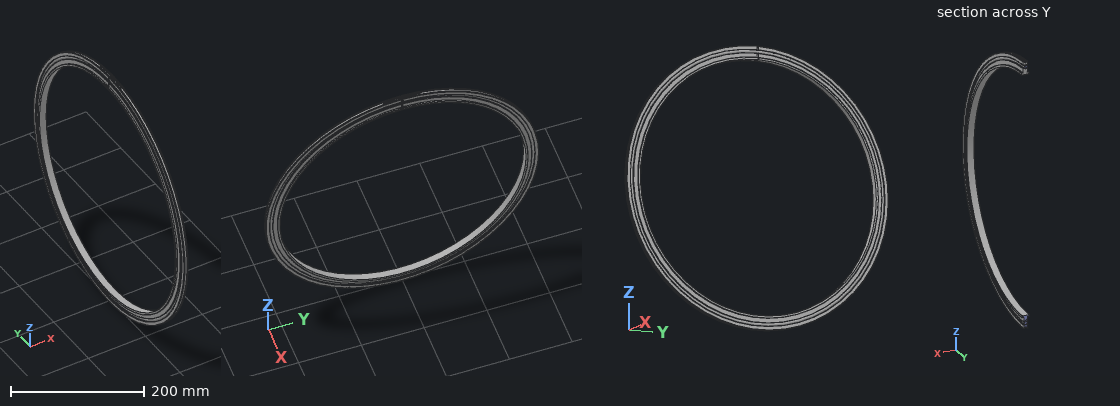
import cadquery as cq
import math

outer_radius = 217.0
bore_radius = 195.7
flange_outer_radius = 199.0
flange_width = 12.0
stem_width = 7.5
split_width = 2.0

cord_center_radius = 208.8
cord_radius = 3.0
seat_gap = 5.0

rim_groove_radius = 1.7

pin_radius = 1.0
pin_half_length = 28.5

inner_ring_top_radius = cord_center_radius - seat_gap / 2
outer_ring_bottom_radius = cord_center_radius + seat_gap / 2
pin_center_radius = outer_radius - rim_groove_radius + pin_radius
pin_half_angle = math.degrees(math.asin(pin_half_length / pin_center_radius))


def revolve_about_x(profile, angle=360):
    """Revolve a profile drawn as (X, radius) about the X axis."""
    return profile.revolve(angle, (0, 0, 0), (1, 0, 0))


def make_band(width, low_radius, high_radius):
    """Ring of rectangular section, centred on X = 0."""
    profile = cq.Workplane("XY").moveTo(-width / 2, low_radius)
    profile = profile.lineTo(width / 2, low_radius)
    profile = profile.lineTo(width / 2, high_radius)
    profile = profile.lineTo(-width / 2, high_radius).close()
    return revolve_about_x(profile)


def make_torus(center_radius, section_radius, angle=360):
    """Ring of round section, or the part of it that sweeps from +Y towards +Z."""
    return revolve_about_x(cq.Workplane("XY").moveTo(0, center_radius).circle(section_radius), angle)


def cut_split(ring):
    """Open the ring at its top with a parallel-sided gap."""
    gap = cq.Workplane("XY").box(flange_width, split_width, outer_radius, centered=(True, True, False))
    return ring.cut(gap)


def make_inner_ring():
    """Split ring with a wide flange at the bore and a round seat for the cord."""
    flange = make_band(flange_width, bore_radius, flange_outer_radius)
    stem = make_band(stem_width, bore_radius, inner_ring_top_radius)
    ring = flange.union(stem).cut(make_torus(cord_center_radius, cord_radius))
    return cut_split(ring)


def make_outer_ring():
    """Split ring with a round seat for the cord and a half-round rim groove."""
    ring = make_band(stem_width, outer_ring_bottom_radius, outer_radius)
    ring = ring.cut(make_torus(cord_center_radius, cord_radius))
    ring = ring.cut(make_torus(outer_radius, rim_groove_radius))
    return cut_split(ring)


def make_pin():
    """Curved pin centred on the split at the top of the ring."""
    pin = make_torus(pin_center_radius, pin_radius, 2 * pin_half_angle)
    return pin.rotate((0, 0, 0), (1, 0, 0), 90 - pin_half_angle)


inner_ring = make_inner_ring()
cord_ring = make_torus(cord_center_radius, cord_radius)
outer_ring = make_outer_ring()
pin = make_pin()

result = cq.Compound.makeCompound([
    inner_ring.val(),
    cord_ring.val(),
    outer_ring.val(),
    pin.val(),
])